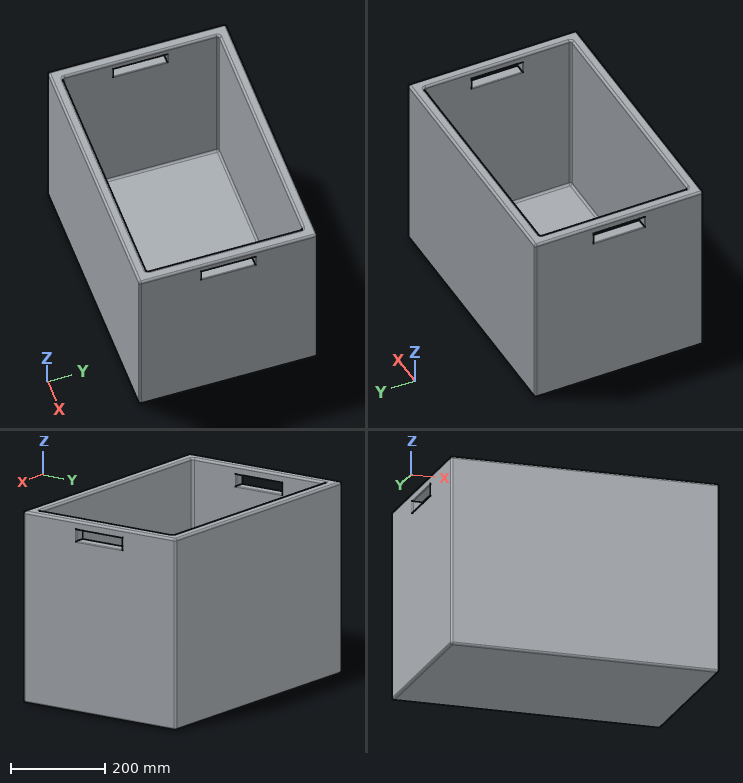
import cadquery as cq

length = 600.0
width = 400.0
height = 420.0
edge_radius = 5.0

wall = 25.0

handle_width = 120.0
handle_height = 25.0
handle_drop = 20.0
handle_edge_radius = 2.0


def make_body():
    """Solid block with all outer edges rounded."""
    block = cq.Workplane("XY").box(length, width, height, centered=(True, True, False))
    return block.edges().fillet(edge_radius)


def make_cavity():
    """Open interior with rounded upright corners and floor edges."""
    return (
        cq.Workplane("XY")
        .workplane(offset=wall)
        .rect(length - 2 * wall, width - 2 * wall)
        .extrude(height - wall)
        .edges("|Z or <Z")
        .fillet(edge_radius)
    )


def round_rim(box):
    """Round the inner edge of the open rim."""
    rim_margin = wall / 2
    selector = cq.selectors.BoxSelector(
        (-length / 2 + rim_margin, -width / 2 + rim_margin, height - rim_margin),
        (length / 2 - rim_margin, width / 2 - rim_margin, height + rim_margin),
    )
    rim_edges = box.faces(">Z").edges(selector)
    return rim_edges.fillet(edge_radius)


def cut_handles(box):
    """Cut the hand holes and round their mouths on both sides of each wall."""
    center_z = height - handle_drop - handle_height / 2
    cutter = cq.Workplane("XY").box(2 * length, handle_width, handle_height)
    box = box.cut(cutter.translate((0, 0, center_z)))

    half_y = handle_width / 2 + handle_edge_radius
    half_z = handle_height / 2 + handle_edge_radius
    mouths = cq.selectors.BoxSelector(
        (-length, -half_y, center_z - half_z),
        (length, half_y, center_z + half_z),
    )
    return box.edges(mouths).edges("not |X").fillet(handle_edge_radius)


result = cut_handles(round_rim(make_body().cut(make_cavity())))